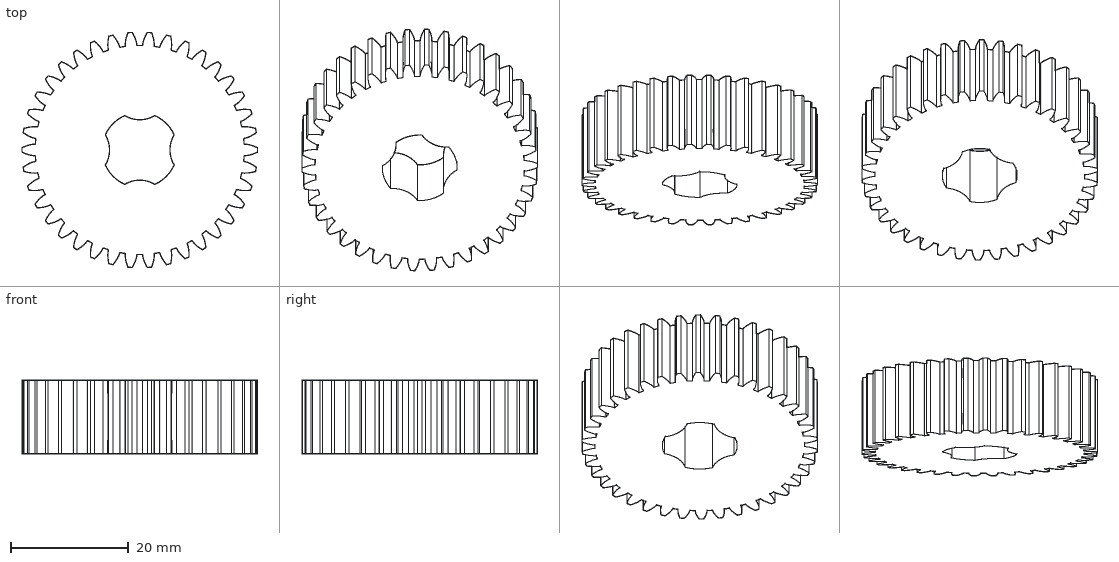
import cadquery as cq
import math

module = 1.0
tooth_count = 38
pressure_angle = math.radians(20)
face_width = 12.5
addendum = 1.0 * module
dedendum = 1.25 * module

bore_radius = 6.35
lobe_count = 4
lobe_radius = 4.9
lobe_crest_distance = 5.1

pitch_radius = module * tooth_count / 2
base_radius = pitch_radius * math.cos(pressure_angle)
tip_radius = pitch_radius + addendum
root_radius = pitch_radius - dedendum
tooth_pitch_angle = 2 * math.pi / tooth_count
flank_samples = 5


def involute(angle):
    return math.tan(angle) - angle


def half_tooth_angle(radius):
    """Half the angle that a tooth spans at a radius on its involute flank."""
    local_pressure_angle = math.acos(min(1.0, base_radius / radius))
    return tooth_pitch_angle / 4 + involute(pressure_angle) - involute(local_pressure_angle)


def polar(radius, angle):
    return (radius * math.cos(angle), radius * math.sin(angle))


def flank(tooth_angle, side):
    """Points from the base circle out to the tip, on one side (-1 or +1) of a tooth."""
    step = (tip_radius - base_radius) / (flank_samples - 1)
    radii = [base_radius + step * i for i in range(flank_samples)]
    return [polar(r, tooth_angle + side * half_tooth_angle(r)) for r in radii]


def make_gear_blank():
    root_half_angle = half_tooth_angle(base_radius)
    outline = cq.Workplane("XY").moveTo(*polar(root_radius, -root_half_angle))
    for tooth in range(tooth_count):
        tooth_angle = tooth * tooth_pitch_angle
        rising = flank(tooth_angle, -1)
        falling = flank(tooth_angle, 1)[::-1]
        gap_angle = tooth_angle + tooth_pitch_angle / 2
        next_tooth_start = tooth_angle + tooth_pitch_angle - root_half_angle
        outline = (
            outline.lineTo(*rising[0])
            .spline(rising[1:], includeCurrent=True)
            .threePointArc(polar(tip_radius, tooth_angle), falling[0])
            .spline(falling[1:], includeCurrent=True)
            .lineTo(*polar(root_radius, tooth_angle + root_half_angle))
            .threePointArc(polar(root_radius, gap_angle), polar(root_radius, next_tooth_start))
        )
    return outline.close().extrude(face_width)


def make_bore():
    lobes = (
        cq.Workplane("XY")
        .polarArray(lobe_crest_distance + lobe_radius, 0, 360, lobe_count)
        .circle(lobe_radius)
        .extrude(face_width)
    )
    return cq.Workplane("XY").circle(bore_radius).extrude(face_width).cut(lobes)


result = make_gear_blank().cut(make_bore())